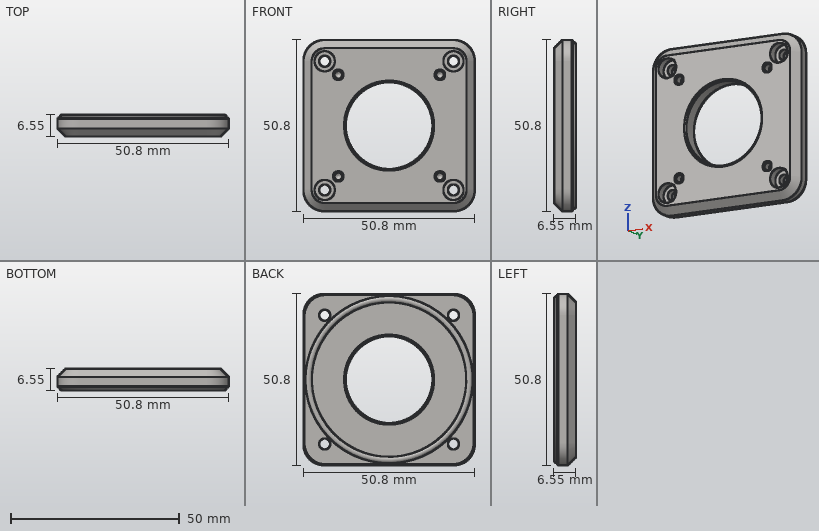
import cadquery as cq
import math

side = 50.8
total_depth = 6.55
plate_depth = 5.65
corner_radius = 6.35
front_chamfer = 2.5
back_chamfer = 0.4

bore_diameter = 25.65
bore_chamfer = 0.5

screw_diameter = 3.2
head_diameter = 6.0
head_depth = 3.05
screw_offset = side / 2 - corner_radius

blind_diameter = 2.3
blind_mouth_diameter = 3.1
blind_depth = 3.05
blind_offset = 15.05
drill_tip_angle = 118.0

ring_inner_diameter = 45.7
ring_outer_diameter = 49.55
ring_section = (ring_outer_diameter - ring_inner_diameter) / 2
groove_floor = total_depth - ring_section


def square_pattern(offset):
    """The four (x, z) points of a square centred on the bore axis."""
    return [(x, z) for x in (-offset, offset) for z in (-offset, offset)]


def cylinder(x, z, diameter, start, end):
    """A solid cylinder along Y, from y = start to y = end."""
    return cq.Workplane(cq.Solid.makeCylinder(
        diameter / 2, end - start, cq.Vector(x, start, z), cq.Vector(0, 1, 0)
    ))


def revolve_about_bore_axis(profile):
    """Revolve an XY profile a full turn about the Y axis."""
    return profile.revolve(360, (0, 0, 0), (0, 1, 0))


def make_blank():
    """Rounded square plate, chamfered on its front and back rims."""
    blank = cq.Workplane("XY").box(side, plate_depth, side, centered=(True, False, True))
    blank = blank.edges("|Y").fillet(corner_radius)
    blank = blank.faces("<Y").chamfer(front_chamfer)
    return blank.faces(">Y").chamfer(back_chamfer)


def make_bore():
    """Central through bore chamfered at both mouths."""
    radius = bore_diameter / 2
    return revolve_about_bore_axis(cq.Workplane("XY").polyline([
        (0, 0),
        (radius + bore_chamfer, 0),
        (radius, bore_chamfer),
        (radius, plate_depth - bore_chamfer),
        (radius + bore_chamfer, plate_depth),
        (0, plate_depth),
    ]).close())


def make_screw_hole(x, z):
    """Through hole with a counterbore in the front face."""
    shank = cylinder(x, z, screw_diameter, 0, plate_depth)
    return shank.union(cylinder(x, z, head_diameter, 0, head_depth))


def make_blind_hole(x, z):
    """Blind hole with a 45 degree countersink and a drill-point bottom."""
    radius = blind_diameter / 2
    mouth_radius = blind_mouth_diameter / 2
    tip_length = radius / math.tan(math.radians(drill_tip_angle / 2))
    hole = revolve_about_bore_axis(cq.Workplane("XY").polyline([
        (0, 0),
        (mouth_radius, 0),
        (radius, mouth_radius - radius),
        (radius, blind_depth),
        (0, blind_depth + tip_length),
    ]).close())
    return hole.translate((x, 0, z))


def make_ring_groove():
    """Rectangular annular groove as wide as the O-ring section."""
    outer = cylinder(0, 0, ring_outer_diameter, groove_floor, plate_depth)
    return outer.cut(cylinder(0, 0, ring_inner_diameter, groove_floor, plate_depth))


def make_plate():
    plate = make_blank().cut(make_bore()).cut(make_ring_groove())
    for x, z in square_pattern(screw_offset):
        plate = plate.cut(make_screw_hole(x, z))
    for x, z in square_pattern(blind_offset):
        plate = plate.cut(make_blind_hole(x, z))
    return plate


def make_o_ring():
    """Round-section ring, standing proud of the back face."""
    section_radius = ring_section / 2
    section_centre = (ring_inner_diameter / 2 + section_radius, groove_floor + section_radius)
    return revolve_about_bore_axis(cq.Workplane("XY").moveTo(*section_centre).circle(section_radius))


plate = make_plate()
o_ring = make_o_ring()

result = cq.Compound.makeCompound([plate.val(), o_ring.val()])